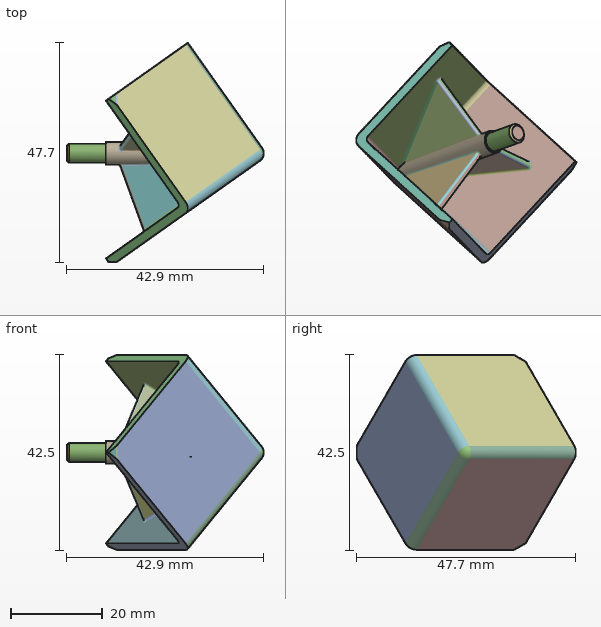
import cadquery as cq
import math

ACROSS_FLATS = 42.45
WALL = 2.0
OUTER_RADIUS = 2.0
INNER_RADIUS = 1.0

TIP_TRIM_RADIUS = 23.65
TIP_FILLET = 0.6

COLLAR_DIAMETER = 5.0
SHAFT_DIAMETER = 4.2
SHAFT_LENGTH = 8.5
SHAFT_CHAMFER = 0.5

RIB_SETBACK = 3.0
RIB_SLOPE = 20
RIB_FRONT_WIDTH = 1.25
RIB_DRAFT = 1.0
RIB_FILLET = 0.5

CUBE_SIDE = ACROSS_FLATS / math.sqrt(2)
SIDES = 3
STEP_ANGLE = 360 / SIDES
COLLAR_X = -(2 * CUBE_SIDE + WALL) / math.sqrt(3)
SHAFT_END_X = COLLAR_X - SHAFT_LENGTH
WALL_SLOPE = math.sqrt(2)
BURIED_X = -2 * WALL
TOUCH = 0.005


def turn_one_step(shape):
    """Turn a shape about the X axis to the next of the three equal positions."""
    return shape.rotate((0, 0, 0), (1, 0, 0), STEP_ANGLE)


def edge_direction(angle):
    """Unit vector along the cube edge lying at this angle from +Y, about the X axis."""
    radial = math.sqrt(2 / 3)
    angle = math.radians(angle)
    return (-1 / math.sqrt(3), radial * math.cos(angle), radial * math.sin(angle))


def cube_plane():
    """Workplane whose three axes run along the three cube edges from the corner."""
    return cq.Plane(origin=(0, 0, 0), xDir=edge_direction(0), normal=edge_direction(STEP_ANGLE))


def rounded_corner_block(side, offset, radius):
    """Cube with one corner moved inward by offset and the three edges at it rounded."""
    block = cq.Workplane("XY").box(side, side, side, centered=False)
    corner_edges = block.edges("(<X and <Y) or (<Y and <Z) or (<Z and <X)")
    block = corner_edges.fillet(radius).translate((offset, offset, offset))
    return cq.Workplane(block.val().moved(cq.Location(cube_plane())))


def make_outer_block():
    """Solid cube corner with its three face tips cut flat and softened."""
    block = rounded_corner_block(CUBE_SIDE, 0, OUTER_RADIUS)
    trim = cq.Workplane("XY").box(3 * CUBE_SIDE, 2 * TIP_TRIM_RADIUS, ACROSS_FLATS)
    trim = trim.translate((0, -2 * TIP_TRIM_RADIUS, 0))
    for _ in range(SIDES):
        block = block.cut(trim)
        block = block.faces("<Y").edges(">X").fillet(TIP_FILLET)
        block = turn_one_step(block)
    return block


def rib_half_width(x):
    """Half the drafted width of a rib at this X."""
    return RIB_FRONT_WIDTH / 2 + (x - COLLAR_X) * math.tan(math.radians(RIB_DRAFT))


def make_rib():
    """Triangular rib on the -Y side, from the axis to the middle of the wall, free edge rounded."""
    slope = math.tan(math.radians(RIB_SLOPE))
    axis_x = COLLAR_X + RIB_SETBACK - slope * COLLAR_DIAMETER / 2
    mid_wall_x = -WALL * math.sqrt(3) / 2
    reach = (mid_wall_x - axis_x) / (WALL_SLOPE + slope)
    profile = (
        cq.Workplane("XY")
        .moveTo(axis_x, 0)
        .lineTo(axis_x + slope * reach, -reach)
        .lineTo(BURIED_X, (BURIED_X - mid_wall_x) / WALL_SLOPE)
        .lineTo(BURIED_X, 0)
        .close()
        .extrude(COLLAR_DIAMETER / 2, both=True)
    )
    front = RIB_FRONT_WIDTH / 2
    back = rib_half_width(BURIED_X)
    wedge = (
        cq.Workplane("XZ")
        .polyline([(COLLAR_X, -front), (COLLAR_X, front), (BURIED_X, back), (BURIED_X, -back)])
        .close()
        .extrude(CUBE_SIDE)
    )
    rib = profile.intersect(wedge)
    return rib.faces("<X").edges("not |Z").fillet(RIB_FILLET)


def is_rib_root(edge):
    """True for the edges where the -Y rib meets the wall or the collar."""
    middle = edge.Center()
    wall_gap = (WALL_SLOPE * middle.y - middle.x) / math.sqrt(3) - WALL
    collar_gap = math.hypot(middle.y, middle.z) - COLLAR_DIAMETER / 2
    beside_rib = middle.y < 0 and abs(middle.z) <= rib_half_width(BURIED_X)
    inside = COLLAR_X + RIB_SETBACK / 2 < middle.x < BURIED_X
    on_wall = abs(wall_gap) < TOUCH
    on_collar = abs(collar_gap) < TOUCH
    return beside_rib and inside and (on_wall or on_collar)


def add_ribs(body):
    """Join the three ribs, rounding each one into the wall and the collar."""
    for _ in range(SIDES):
        body = body.union(make_rib())
        root_edges = [edge for edge in body.edges().vals() if is_rib_root(edge)]
        body = body.newObject(root_edges).fillet(RIB_FILLET)
        body = turn_one_step(body)
    return body


def cylinder_along_x(diameter, start_x, end_x):
    """Round bar on the X axis between two X positions."""
    start = cq.Workplane("YZ", origin=(start_x, 0, 0))
    return start.circle(diameter / 2).extrude(end_x - start_x)


outer = make_outer_block()
cavity = rounded_corner_block(2 * CUBE_SIDE, WALL, INNER_RADIUS)
collar = cylinder_along_x(COLLAR_DIAMETER, COLLAR_X, BURIED_X)
shaft = cylinder_along_x(SHAFT_DIAMETER, SHAFT_END_X, COLLAR_X)
shaft = shaft.faces("<X").chamfer(SHAFT_CHAMFER)
result = add_ribs(outer.cut(cavity).union(collar)).union(shaft)